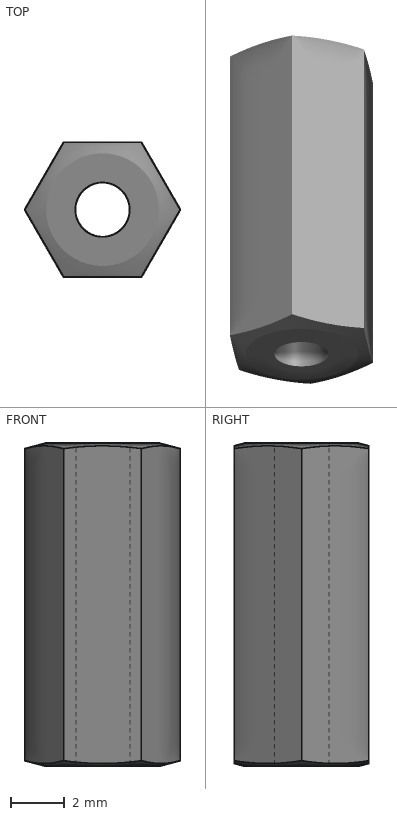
import cadquery as cq
import math

length = 12.0
across_flats = 5.0
bore_diameter = 2.0
end_face_diameter = 4.18
chamfer_angle = 15.0

across_corners = across_flats / math.cos(math.radians(30))
corner_radius = across_corners / 2
end_face_radius = end_face_diameter / 2
corner_drop = (corner_radius - end_face_radius) * math.tan(math.radians(chamfer_angle))


def hex_bar():
    """Hexagonal prism with two opposite corners on the X axis."""
    return cq.Workplane("XY").polygon(6, across_corners).extrude(length)


def chamfer_envelope():
    """Turned body whose conical ends trim the corners of the hexagon."""
    profile = [
        (0, 0),
        (end_face_radius, 0),
        (corner_radius, corner_drop),
        (corner_radius, length - corner_drop),
        (end_face_radius, length),
        (0, length),
    ]
    return cq.Workplane("XZ").polyline(profile).close().revolve(360, (0, 0), (0, 1))


def bore():
    """Cylinder removed along the whole length."""
    return cq.Workplane("XY").circle(bore_diameter / 2).extrude(length)


result = hex_bar().intersect(chamfer_envelope()).cut(bore())